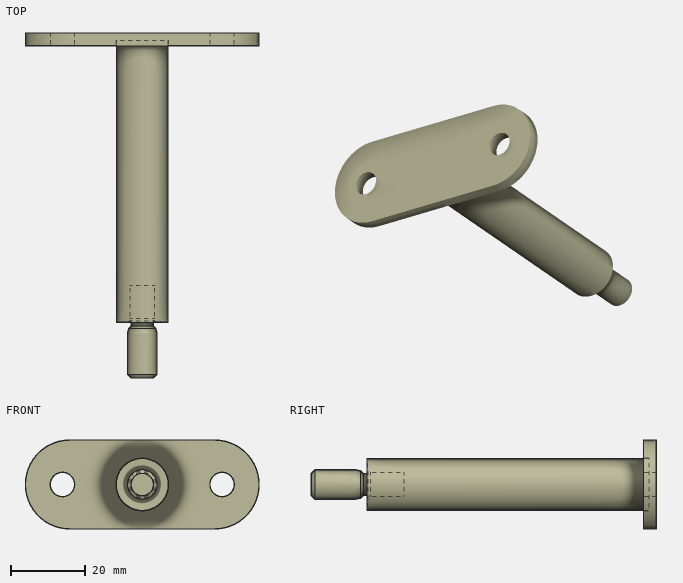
import cadquery as cq
import math

overall_length = 93.0

plate_length = 63.0
plate_height = 24.0
plate_thickness = 3.5
screw_hole_diameter = 6.5
screw_hole_spacing = 43.0
seat_diameter = 14.2
seat_depth = 1.5

stud_projection = 15.0
root_diameter = 6.5
root_depth = 10.0
neck_diameter = 6.0
neck_recess = 1.0
neck_end = 0.95
relief_diameter = 7.4
shank_diameter = 8.0
shank_start = 3.0
tip_chamfer = 1.0

tube_diameter = 14.0
tube_start = plate_thickness - seat_depth
tube_end = overall_length - stud_projection
dish_angle = 5.0
dish_depth = tube_diameter / 2 * math.tan(math.radians(dish_angle))


def outward(distance):
    """Sketch plane at this distance from the plate back, facing -Y."""
    return cq.Workplane("XZ", origin=(0, -distance, 0))


def turned(profile):
    """Revolve a half profile of (radius, distance from the plate back) about the Y axis."""
    points = [(radius, -distance) for radius, distance in profile]
    return cq.Workplane("XY").polyline(points).close().revolve(360, (0, 0, 0), (0, 1, 0))


def make_plate():
    blank = outward(0).slot2D(plate_length, plate_height).extrude(plate_thickness)
    screw_holes = (
        outward(0)
        .rarray(screw_hole_spacing, 1, 2, 1)
        .circle(screw_hole_diameter / 2)
        .extrude(plate_thickness)
    )
    seat = outward(tube_start).circle(seat_diameter / 2).extrude(seat_depth)
    return blank.cut(screw_holes).cut(seat)


def make_tube():
    body = outward(tube_start).circle(tube_diameter / 2).extrude(tube_end - tube_start)
    root_hole = outward(tube_end - root_depth).circle(root_diameter / 2).extrude(root_depth)
    dish = turned([(0, tube_end), (tube_diameter / 2, tube_end), (0, tube_end - dish_depth)])
    return body.cut(root_hole).cut(dish)


def make_stud():
    root_radius = root_diameter / 2
    neck_radius = neck_diameter / 2
    relief_radius = relief_diameter / 2
    shank_radius = shank_diameter / 2
    relief_end = neck_end + relief_radius - neck_radius
    return turned([
        (0, tube_end - root_depth),
        (root_radius, tube_end - root_depth),
        (root_radius, tube_end - neck_recess),
        (neck_radius, tube_end - neck_recess),
        (neck_radius, tube_end + neck_end),
        (relief_radius, tube_end + relief_end),
        (shank_radius, tube_end + shank_start),
        (shank_radius, overall_length - tip_chamfer),
        (shank_radius - tip_chamfer, overall_length),
        (0, overall_length),
    ])


plate = make_plate()
tube = make_tube()
stud = make_stud()

result = cq.Compound.makeCompound([plate.val(), tube.val(), stud.val()])